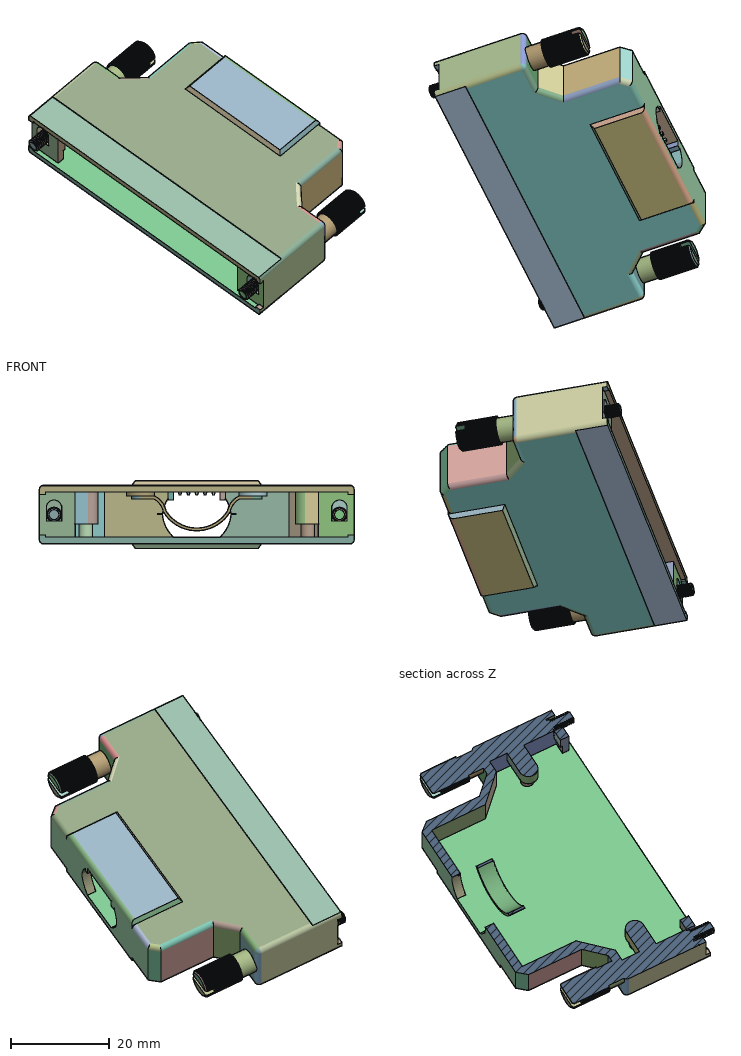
import cadquery as cq
import math


hood_width = 63.9
hood_height = 12.0
hood_depth = 38.3
shoulder_y = 19.95
shoulder_inner_x = 25.1
neck_half_width = 21.15
corner_bevel_x = 1.8
corner_bevel_y = 2.05
edge_radius = 1.0
half_width = hood_width / 2
half_height = hood_height / 2
bevel_run = shoulder_inner_x - neck_half_width

mouth_band_depth = 6.7
mouth_band_relief = 0.18

pad_rise = 0.9
pad_half_width = 12.45
pad_front_y = 27.05
pad_flare = 0.65

cavity_half_height = 4.55
cavity_neck_half_width = 18.7
cavity_pocket_half_width = 27.3
wall = 2.0
cavity_rear_y = hood_depth - wall
cavity_shoulder_y = shoulder_y - wall
cavity_diagonal_x = 24.6
cavity_diagonal_run = cavity_diagonal_x - cavity_neck_half_width

mouth_recess = 1.0
recess_half_height = 4.12
recess_end_x = 30.7
plate_inner_x = 24.7
plate_upper_back_y = 3.05
plate_lower_back_y = 2.55
parting_z = -1.95

screw_x = 28.95
slot_width = 3.1
slot_top_z = 2.95
slot_bottom_z = -1.25

screw_tip_y = -2.0
thread_radius = 1.3
thread_root_radius = 1.0
thread_pitch = 0.5
thread_turns = 9
thread_flat = 0.12
shank_radius = 1.5
collar_radius = 2.55
collar_end_y = 23.4
knob_radius = 2.95
knob_length = 8.5
knurl_count = 72
knurl_depth = 0.15
knob_chamfer = 0.45
driver_slot_width = 1.25
driver_slot_depth = 2.05
knob_end_y = collar_end_y + knob_length

post_x = 22.05
post_y = 12.0
upper_post_radius = 2.0
lower_boss_x = 22.5
lower_boss_radius = 1.4

opening_radius = 6.95
opening_centre_offset = 0.55
saddle_depth = 1.5
saddle_end_inner_x = 4.7
saddle_end_width = 1.1
saddle_end_z = 2.95
tooth_count = 5
tooth_pitch = 1.7
tooth_width = 0.7
tooth_height = 0.6

lip_end_x = 7.95
lip_gap_z = 0.0
lip_gap_height = 0.2
lip_gap_depth = 0.5

strap_front_y = 29.0
strap_width = 3.7
strap_thickness = 0.6
strap_foot_z = 3.15
strap_bottom_z = -3.3
strap_foot_inner_x = 8.6
strap_bend_x = 7.3
strap_bend_z = 2.4
strap_bow_half_width = 6.5
strap_bow_end_z = 0.65
clamp_boss_x = 11.4
clamp_boss_radius = 2.85
strap_foot_end_x = clamp_boss_x + strap_width / 2


def block(x_min, x_max, y_min, y_max, z_min, z_max):
    """Axis-aligned box between the given limits."""
    size = (x_max - x_min, y_max - y_min, z_max - z_min)
    return cq.Workplane("XY").box(*size, centered=False).translate((x_min, y_min, z_min))


def cylinder_y(x, z, radius, y_min, y_max):
    """Cylinder along Y."""
    profile = cq.Workplane("XZ", origin=(x, y_min, z)).circle(radius)
    return profile.extrude(y_min - y_max)


def both_sides(shape):
    """The shape together with its mirror image across X = 0."""
    return shape.union(shape.mirror("YZ"))


def mirrored_outline(right_points):
    """Closed XY wire from its right-hand points, ordered front to rear."""
    left_points = [(-x, y) for x, y in reversed(right_points)]
    return cq.Workplane("XY").polyline(right_points + left_points).close()


def make_shell():
    outline = mirrored_outline([
        (half_width, 0),
        (half_width, shoulder_y),
        (shoulder_inner_x, shoulder_y),
        (neck_half_width, shoulder_y + bevel_run),
        (neck_half_width, hood_depth - corner_bevel_y),
        (neck_half_width - corner_bevel_x, hood_depth),
    ])
    shell = outline.extrude(half_height, both=True)
    outer_corners = cq.selectors.BoxSelector(
        (-hood_width, shoulder_y - edge_radius, -hood_height),
        (-half_width + edge_radius, shoulder_y + edge_radius, hood_height),
    ) + cq.selectors.BoxSelector(
        (half_width - edge_radius, shoulder_y - edge_radius, -hood_height),
        (hood_width, shoulder_y + edge_radius, hood_height),
    )
    shell = shell.edges("|Z").edges(outer_corners).fillet(edge_radius)
    shell = shell.faces("<Z or >Z").edges("not(<Y)").fillet(edge_radius)
    band_z = half_height - mouth_band_relief
    for z_min in (band_z, -half_height):
        shell = shell.cut(block(
            -half_width, half_width, 0, mouth_band_depth, z_min, z_min + mouth_band_relief
        ))
    return shell


def make_pads():
    """Raised pads on both faces, with sloping sides and a rounded rear edge."""
    pad_z = half_height + pad_rise
    foot_half_width = pad_half_width + pad_flare
    foot_front_y = pad_front_y - pad_flare
    side = cq.Workplane("XZ", origin=(0, foot_front_y, 0)).polyline([
        (-foot_half_width, 0),
        (-foot_half_width, half_height),
        (-pad_half_width, pad_z),
        (pad_half_width, pad_z),
        (foot_half_width, half_height),
        (foot_half_width, 0),
    ]).close().extrude(foot_front_y - hood_depth)
    profile = cq.Workplane("YZ", origin=(-foot_half_width, 0, 0)).polyline([
        (foot_front_y, 0),
        (foot_front_y, half_height),
        (pad_front_y, pad_z),
        (hood_depth, pad_z),
        (hood_depth, 0),
    ]).close().extrude(2 * foot_half_width)
    pad = side.intersect(profile)
    pad = pad.faces(">Y").edges(">Z").fillet(edge_radius)
    return pad.union(pad.mirror("XY"))


def make_cavity():
    outline = mirrored_outline([
        (plate_inner_x, 0),
        (plate_inner_x, plate_upper_back_y),
        (cavity_pocket_half_width, plate_upper_back_y),
        (cavity_pocket_half_width, cavity_shoulder_y),
        (cavity_diagonal_x, cavity_shoulder_y),
        (cavity_neck_half_width, cavity_shoulder_y + cavity_diagonal_run),
        (cavity_neck_half_width, cavity_rear_y),
    ])
    cavity = outline.extrude(cavity_half_height, both=True)
    lower_pocket = block(
        plate_inner_x, cavity_pocket_half_width, plate_lower_back_y, plate_upper_back_y,
        -cavity_half_height, parting_z,
    )
    cavity = cavity.union(both_sides(lower_pocket))
    cavity = cavity.union(block(
        -recess_end_x, recess_end_x, 0, mouth_recess, -cavity_half_height, cavity_half_height
    ))
    return cavity.union(block(
        -half_width, half_width, 0, mouth_recess, -recess_half_height, recess_half_height
    ))


def make_screw_slots():
    slot_radius = slot_width / 2
    arc_z = slot_top_z - slot_radius
    slot = block(
        screw_x - slot_radius, screw_x + slot_radius, mouth_recess, plate_upper_back_y,
        slot_bottom_z, arc_z,
    )
    slot = slot.union(cylinder_y(screw_x, arc_z, slot_radius, mouth_recess, plate_upper_back_y))
    return both_sides(slot)


def make_opening():
    """Cable opening between two offset circles, cut off level with the cavity's floor and roof."""
    lower_arc = cylinder_y(0, opening_centre_offset, opening_radius, cavity_rear_y, hood_depth)
    upper_arc = cylinder_y(0, -opening_centre_offset, opening_radius, cavity_rear_y, hood_depth)
    limits = block(
        -opening_radius, opening_radius, cavity_rear_y, hood_depth,
        -cavity_half_height, cavity_half_height,
    )
    return lower_arc.intersect(upper_arc).intersect(limits)


def make_lip_grooves():
    """Shallow grooves running out from both sides of the cable opening."""
    return block(
        -lip_end_x, lip_end_x, cavity_rear_y, cavity_rear_y + lip_gap_depth,
        lip_gap_z, lip_gap_z + lip_gap_height,
    )


def make_saddle():
    """Teeth and end stops hanging from the roof just inside the cable opening."""
    front_y = cavity_rear_y - saddle_depth
    saddle = both_sides(block(
        saddle_end_inner_x, saddle_end_inner_x + saddle_end_width,
        front_y, hood_depth, saddle_end_z, cavity_half_height + tooth_height,
    ))
    for index in range(tooth_count):
        x = (index - (tooth_count - 1) / 2) * tooth_pitch
        root_z = cavity_half_height
        tooth = cq.Workplane("XZ", origin=(x, front_y, 0)).polyline([
            (-tooth_width / 2, root_z + tooth_height),
            (-tooth_width / 2, root_z),
            (-tooth_width / 4, root_z - tooth_height),
            (tooth_width / 4, root_z - tooth_height),
            (tooth_width / 2, root_z),
            (tooth_width / 2, root_z + tooth_height),
        ]).close().extrude(-saddle_depth)
        saddle = saddle.union(tooth)
    return saddle


def make_strap():
    """Bent strap hung from two round bosses, bowed down across the cable opening."""
    middle_z = strap_thickness / 2
    foot_z = strap_foot_z + middle_z
    centre_line = (
        cq.Workplane("XZ", origin=(0, strap_front_y, 0))
        .moveTo(-strap_foot_end_x, foot_z)
        .lineTo(-strap_foot_inner_x, foot_z)
        .threePointArc((-strap_bend_x, strap_bend_z), (-strap_bow_half_width, strap_bow_end_z))
        .threePointArc((0, strap_bottom_z + middle_z), (strap_bow_half_width, strap_bow_end_z))
        .threePointArc((strap_bend_x, strap_bend_z), (strap_foot_inner_x, foot_z))
        .lineTo(strap_foot_end_x, foot_z)
    )
    band = centre_line.offset2D(middle_z).extrude(-strap_width)

    boss_y = strap_front_y + strap_width / 2
    foot_outline = cq.Workplane("XY", origin=(0, boss_y, strap_bottom_z)).slot2D(
        2 * strap_foot_end_x, strap_width
    )
    strap = band.intersect(foot_outline.extrude(half_height - strap_bottom_z))
    boss_base = cq.Workplane("XY", origin=(clamp_boss_x, boss_y, strap_foot_z + strap_thickness))
    boss = boss_base.circle(clamp_boss_radius).extrude(cavity_half_height - strap_foot_z)
    return strap.union(both_sides(boss))


def make_posts():
    """Assembly posts: rounded ribs hang from the roof, each meeting a round boss on the floor."""
    front_y = post_y - upper_post_radius
    rear_y = post_y + upper_post_radius
    upper_base = cq.Workplane("XY", origin=(post_x, post_y, parting_z))
    upper = upper_base.circle(upper_post_radius).extrude(cavity_half_height - parting_z)
    upper = upper.union(block(
        post_x, cavity_pocket_half_width, front_y, rear_y, parting_z, cavity_half_height
    ))
    boss_base = cq.Workplane("XY", origin=(lower_boss_x, post_y, -cavity_half_height))
    boss = boss_base.circle(lower_boss_radius).extrude(parting_z + cavity_half_height)
    return both_sides(upper.union(boss))


def make_screw():
    """Thumbscrew along Y: grooved thread, shank, collar and knurled knob."""
    thread = [(0, screw_tip_y)]
    for turn in range(thread_turns):
        root_y = screw_tip_y + turn * thread_pitch
        crest_y = root_y + thread_pitch / 2
        thread.append((thread_root_radius, root_y))
        thread.append((thread_root_radius, root_y + thread_flat))
        thread.append((thread_radius, crest_y))
        thread.append((thread_radius, crest_y + thread_flat))
    thread_end_y = screw_tip_y + thread_turns * thread_pitch
    profile = thread + [
        (thread_root_radius, thread_end_y),
        (shank_radius, thread_end_y),
        (shank_radius, cavity_shoulder_y),
        (collar_radius, cavity_shoulder_y),
        (collar_radius, collar_end_y),
        (0, collar_end_y),
    ]
    screw = cq.Workplane("XY").polyline(profile).close().revolve(360, (0, 0, 0), (0, 1, 0))

    knurl = []
    for index in range(2 * knurl_count):
        radius = knob_radius - knurl_depth * (index % 2)
        angle = math.pi * index / knurl_count
        knurl.append((radius * math.cos(angle), radius * math.sin(angle)))
    knob = cq.Workplane("XZ", origin=(0, collar_end_y, 0)).polyline(knurl).close().extrude(-knob_length)
    envelope = cylinder_y(0, 0, knob_radius, collar_end_y, knob_end_y).faces(">Y").chamfer(knob_chamfer)
    knob = knob.intersect(envelope)
    knob = knob.cut(block(
        -knob_radius, knob_radius, knob_end_y - driver_slot_depth, knob_end_y,
        -driver_slot_width / 2, driver_slot_width / 2,
    ))
    return screw.union(knob).translate((screw_x, 0, 0))


hood = make_shell().union(make_pads())
hood = hood.cut(make_cavity()).cut(make_screw_slots()).cut(make_opening()).cut(make_lip_grooves())
hood = hood.union(make_posts()).union(make_saddle()).union(make_strap())
result = hood.union(both_sides(make_screw()))